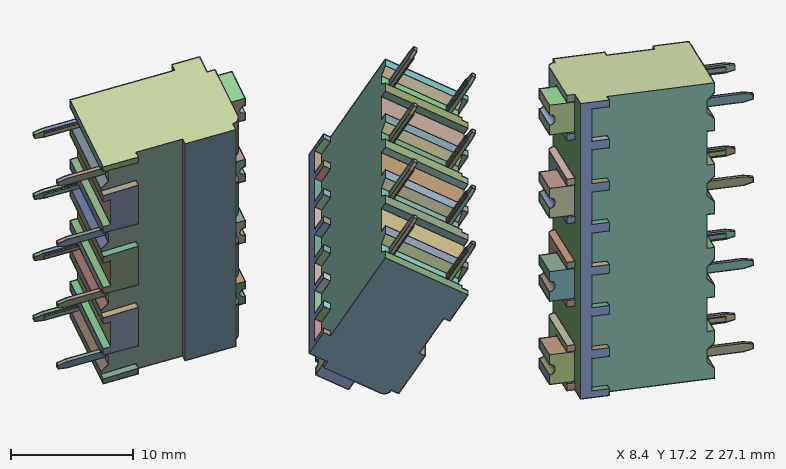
import cadquery as cq

pole_count = 4
pitch = 7.62
end_pole_height = 4.2
total_height = (pole_count - 1) * pitch + end_pole_height
pole_levels = [(i - (pole_count - 1) / 2) * pitch for i in range(pole_count)]

rail_overhang = 0.65
overall_width = 8.4
housing_depth = 11.55
housing_right = overall_width

rail_bottom = 10.6
tab_bottom = 9.12
tab_inner_offset = 1.48
foot_half_height = 2.27

foot_depth = 0.65
groove_floor_half_height = 0.54
groove_mouth_half_height = groove_floor_half_height + foot_depth

recess_depth = 0.55
recess_bottom = 3.06
recess_top = 7.12
channel_mouth_half_height = 1.5
channel_end_half_height = 1.4

boss_left = 1.74
boss_right = 7.72
boss_height = 0.68
boss_half_height = 2.04
lever_left = 1.81
lever_right = 4.91
lever_half_height = 1.36
lever_top = 13.68
lever_notch_radius = 0.47
lever_clearance = 0.09

pin_length = 3.47
pin_tip_length = 0.8
pin_half_height = 0.39
pin_tip_half_height = 0.21
pin_thickness = 0.32
pin_rib_thickness = 0.14
left_pin_outer_x = 1.36
right_pin_outer_x = 7.14


def box(x_range, y_range, z_range):
    size = [high - low for low, high in (x_range, y_range, z_range)]
    corner = (x_range[0], y_range[0], z_range[0])
    return cq.Workplane("XY").box(*size, centered=False).translate(corner)


def extrude_yz(points, x_range):
    """Extrude a (Y, Z) outline along X."""
    outline = cq.Workplane("YZ", origin=(x_range[0], 0, 0)).polyline(points).close()
    return outline.extrude(x_range[1] - x_range[0])


def span(centre, half):
    return (centre - half, centre + half)


full_height = span(0, total_height / 2)
full_width = (0, overall_width)


def make_housing():
    body = box((rail_overhang, housing_right), (0, housing_depth), full_height)
    rail = box((0, rail_overhang), (rail_bottom, housing_depth), full_height)
    recess = box((housing_right - recess_depth, housing_right), (recess_bottom, recess_top), full_height)
    return body.union(rail).cut(recess)


def make_tabs(z):
    """Two tabs of one pole, at the edges of its foot."""
    upper = box((0, rail_overhang), (tab_bottom, rail_bottom), (z + tab_inner_offset, z + foot_half_height))
    lower = box((0, rail_overhang), (tab_bottom, rail_bottom), (z - foot_half_height, z - tab_inner_offset))
    return upper.union(lower)


def make_foot_gap(lower_z, upper_z):
    """Clearance between the feet of two neighbouring poles."""
    return box(full_width, (0, foot_depth), (lower_z + foot_half_height, upper_z - foot_half_height))


def make_groove(z):
    points = [
        (0, z - groove_mouth_half_height),
        (foot_depth, z - groove_floor_half_height),
        (foot_depth, z + groove_floor_half_height),
        (0, z + groove_mouth_half_height),
    ]
    return extrude_yz(points, full_width)


def make_channel(z):
    """Channel narrowing slightly from its mouth to the recess."""
    x_range = (housing_right - recess_depth, housing_right)
    points = [
        (0, z - channel_mouth_half_height),
        (recess_bottom, z - channel_end_half_height),
        (recess_bottom, z + channel_end_half_height),
        (0, z + channel_mouth_half_height),
    ]
    return extrude_yz(points, x_range)


def make_boss(z):
    """Boss with one rounded edge and a slot for the lever, open towards -X.

    The first and last bosses reach out to the ends of the housing.
    """
    bottom_z, top_z = span(z, boss_half_height)
    if z == pole_levels[0]:
        bottom_z = -total_height / 2
    if z == pole_levels[-1]:
        top_z = total_height / 2
    top = housing_depth + boss_height
    arc_centre_x = boss_right - boss_height
    diagonal = boss_height * 0.5 ** 0.5
    boss = (
        cq.Workplane("XY", origin=(0, 0, bottom_z))
        .moveTo(boss_left, housing_depth)
        .lineTo(boss_left, top)
        .lineTo(arc_centre_x, top)
        .threePointArc((arc_centre_x + diagonal, housing_depth + diagonal), (boss_right, housing_depth))
        .close()
        .extrude(top_z - bottom_z)
    )
    slot = box(
        (boss_left, lever_right + lever_clearance),
        (housing_depth, top),
        span(z, lever_half_height + lever_clearance),
    )
    return boss.cut(slot)


def make_lever(z):
    lever = box((lever_left, lever_right), (housing_depth, lever_top), span(z, lever_half_height))
    notch = (
        cq.Workplane("YZ", origin=(lever_left, lever_top, z))
        .circle(lever_notch_radius)
        .extrude(lever_right - lever_left)
    )
    return lever.cut(notch)


def make_pin(outer_x, inward, z):
    """Tapered blade with a narrow rib on its inner face; inward is +1 or -1 along X."""
    taper_y = pin_tip_length - pin_length
    inner_x = outer_x + inward * pin_thickness
    rib_x = inner_x + inward * pin_rib_thickness
    blade_outline = [
        (foot_depth, z - pin_half_height),
        (taper_y, z - pin_half_height),
        (-pin_length, z - pin_tip_half_height),
        (-pin_length, z + pin_tip_half_height),
        (taper_y, z + pin_half_height),
        (foot_depth, z + pin_half_height),
    ]
    blade = extrude_yz(blade_outline, sorted((outer_x, inner_x)))
    rib = box(sorted((inner_x, rib_x)), (taper_y, foot_depth), span(z, pin_tip_half_height))
    return blade.union(rib)


result = make_housing()
for level in pole_levels:
    result = result.cut(make_groove(level)).cut(make_channel(level))
    result = result.union(make_tabs(level)).union(make_boss(level)).union(make_lever(level))
    result = result.union(make_pin(left_pin_outer_x, 1, level))
    result = result.union(make_pin(right_pin_outer_x, -1, level))
for lower_level, upper_level in zip(pole_levels, pole_levels[1:]):
    result = result.cut(make_foot_gap(lower_level, upper_level))

result = result.intersect(box(full_width, (-pin_length, lever_top), full_height))